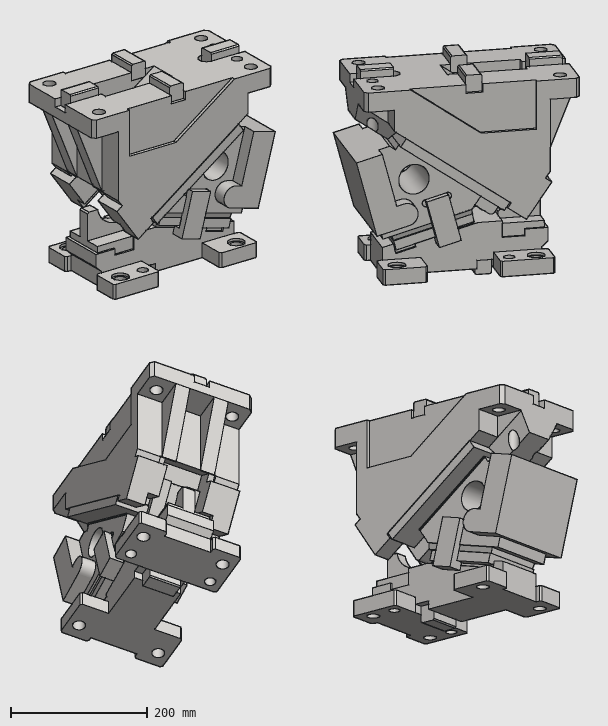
import cadquery as cq
import math


SLIDE_ANGLE = 35.0
RAIL_ANGLE = 15.0

BODY_WIDTH = 167.0
KEY_WIDTH = 25.0
KEY_LENGTH = 50.0
KEY_HALF_DEPTH = 13.0
KEY_CHAMFER = 2.0
BOLT_HOLE = 19.0
DOWEL_HOLE = 16.5


def on_slide(along, above):
    """(y, z) of a point in the slideway frame: distance up the slope, height square to it."""
    a = math.radians(SLIDE_ANGLE)
    y = along * math.cos(a) - above * math.sin(a)
    z = along * math.sin(a) + above * math.cos(a)
    return (y, z)


def on_rail(back, above):
    """(y, z) of a point in the rail frame: distance down the slope, height square to it."""
    a = math.radians(RAIL_ANGLE)
    y = back * math.cos(a) + above * math.sin(a)
    z = above * math.cos(a) - back * math.sin(a)
    return (y, z)


def prism(points, width):
    """Extrude a (y, z) outline across the part, centred on x = 0."""
    return cq.Workplane("YZ").polyline(points).close().extrude(width / 2, both=True)


def block(frame, start, end, low, high, width):
    """A block centred on x = 0 that is rectangular in the given sloping frame."""
    corners = [(start, low), (end, low), (end, high), (start, high)]
    return prism([frame(*corner) for corner in corners], width)


def tapered_bar(frame, start, end, low, high, low_width, high_width):
    """A bar along a sloping frame whose sides lean evenly from one width to the other."""
    plane = cq.Plane(origin=(0, *frame(start, 0)), xDir=(-1, 0, 0), normal=(0, *frame(1, 0)))
    section = [
        (-low_width / 2, low),
        (low_width / 2, low),
        (high_width / 2, high),
        (-high_width / 2, high),
    ]
    return cq.Workplane(plane).polyline(section).close().extrude(end - start)


def disc(centre, radius, width):
    """A cylinder across the part, centred on x = 0, about a (y, z) point."""
    return cq.Workplane("YZ").center(*centre).circle(radius).extrude(width / 2, both=True)


def box(x_range, y_range, z_range):
    """An upright box from its three coordinate ranges."""
    (x0, x1), (y0, y1), (z0, z1) = x_range, y_range, z_range
    return cq.Workplane("XY").box(x1 - x0, y1 - y0, z1 - z0, centered=False).translate((x0, y0, z0))


def both_sides(shape):
    """The shape together with its mirror image across x = 0."""
    return shape.union(shape.mirror("YZ"))


def holes(points, diameter, bottom, top):
    """Upright cylinders to cut at the given (x, y) points."""
    drill = cq.Workplane("XY").workplane(offset=bottom).pushPoints(points)
    return drill.circle(diameter / 2).extrude(top - bottom)


SLIDE_FACE = 33.0
WEAR_PLATE_TOP_END = 343.0
WEAR_PLATE_LOW_END = 152.5
TONGUE_TOP = 77.0
RAIL_TOP = 125.0
RAIL_FRONT = 125.0
RAIL_BACK = 249.0
RAIL_WING_BOTTOM = 110.2
RAIL_WING_FRONT = 165.0
RAIL_WIDTH = 99.5
RAIL_CORE_WIDTH = 80.0

TOP = 298.0
PLATE_LENGTH = 324.5
PLATE_THICKNESS = 29.5
PLATE_CORNER = 5.5
PLATE_BOTTOM = TOP - PLATE_THICKNESS
WALL_FRONT = 45.0
WALL_BACK = 279.5
WALL_FRONT_BOTTOM = 157.0

FOOT_END = 115.5
FOOT_START = 150.0
FOOT_BOTTOM = 24.0
FOOT_TOP = 91.0
FOOT_NOTCH = 127.5
FOOT_NOTCH_INNER = 132.5
FOOT_NOTCH_INNER_WIDTH = 91.0
FOOT_RELIEF_WIDTH = 106.5
FOOT_RELIEF_TOP = 43.0

CHANNEL_WIDTH = 71.5
CHANNEL_MOUTH = 161.0
CHANNEL_MOUTH_TOP = 104.0

RIB_INNER = 20.0
RIB_OUTER = 43.0

STOP_WIDTH = 82.0
STOP_TIP_WIDTH = 44.0
STOP_BOTTOM = 9.5

SIDE_POCKET_DEPTH = 5.6
POCKET_FRONT = 65.5
SIDE_POCKET_BACK = 255.0
SIDE_POCKET_FLOOR = 223.8
TOP_POCKET_WIDTH = 45.5
TOP_POCKET_BACK = 186.0
TOP_POCKET_FLOOR = 247.5

BOLT_X = 62.2
DOWEL_X = 27.6
BACK_HOLES_Y = 299.6
FRONT_HOLES_Y = 25.3

CROSS_KEY_Y = 157.8
CROSS_KEY_X = 47.4
BACK_KEY_Y = 289.2
FRONT_KEY_Y = 35.0
BACK_SLOT_END = 252.0


def wedge_pocket(back, floor, width):
    """Pocket open at the top, whose back end slopes like the slideway."""
    run = (TOP - floor) / math.tan(math.radians(SLIDE_ANGLE))
    return prism([(POCKET_FRONT, TOP), (POCKET_FRONT, floor), (back - run, floor), (back, TOP)], width)


def key(length_x, length_y, centre):
    """Locating key with its exposed long edges chamfered, the exposed side facing up."""
    bar = cq.Workplane("XY").box(length_x, length_y, 2 * KEY_HALF_DEPTH)
    long_edges = "|X" if length_x > length_y else "|Y"
    return bar.faces(">Z").edges(long_edges).chamfer(KEY_CHAMFER).translate(centre)


def make_cam_block():
    plate = box((-BODY_WIDTH / 2, BODY_WIDTH / 2), (0, PLATE_LENGTH), (PLATE_BOTTOM, TOP))
    plate = plate.edges("|Z").chamfer(PLATE_CORNER)

    slope = math.tan(math.radians(SLIDE_ANGLE))
    slide_rise = SLIDE_FACE / math.cos(math.radians(SLIDE_ANGLE))
    wall = prism(
        [
            (WALL_FRONT, TOP - PLATE_CORNER),
            (WALL_FRONT, WALL_FRONT_BOTTOM),
            on_slide(FOOT_NOTCH, FOOT_TOP),
            on_slide(FOOT_END, FOOT_TOP),
            on_slide(FOOT_END, FOOT_BOTTOM),
            on_slide(FOOT_START, FOOT_BOTTOM),
            on_slide(FOOT_START, SLIDE_FACE),
            (WALL_BACK, WALL_BACK * slope + slide_rise),
            (WALL_BACK, TOP - PLATE_CORNER),
        ],
        BODY_WIDTH,
    )
    body = plate.union(wall)

    body = body.cut(block(on_slide, 0, WEAR_PLATE_TOP_END, 0, TONGUE_TOP, CHANNEL_WIDTH))
    body = body.cut(block(on_slide, 0, CHANNEL_MOUTH, 0, CHANNEL_MOUTH_TOP, CHANNEL_WIDTH))
    body = body.cut(block(on_slide, 0, FOOT_NOTCH_INNER, FOOT_TOP, CHANNEL_MOUTH_TOP, FOOT_NOTCH_INNER_WIDTH))
    body = body.cut(block(on_slide, 0, FOOT_START, 0, FOOT_RELIEF_TOP, FOOT_RELIEF_WIDTH))

    rib_outline = [(0, PLATE_BOTTOM), (WALL_FRONT, PLATE_BOTTOM), (WALL_FRONT, WALL_FRONT_BOTTOM)]
    body = body.union(prism(rib_outline, 2 * RIB_OUTER).cut(prism(rib_outline, 2 * RIB_INNER)))

    stop_root = prism(
        [
            on_slide(WEAR_PLATE_TOP_END, SLIDE_FACE),
            on_slide(WEAR_PLATE_TOP_END, TONGUE_TOP),
            (WALL_BACK, PLATE_BOTTOM),
            (PLATE_LENGTH, PLATE_BOTTOM),
            (PLATE_LENGTH, PLATE_LENGTH * slope + slide_rise),
        ],
        STOP_WIDTH,
    )
    stop = tapered_bar(
        on_slide,
        WEAR_PLATE_TOP_END,
        WEAR_PLATE_TOP_END + PLATE_LENGTH,
        STOP_BOTTOM,
        SLIDE_FACE,
        STOP_TIP_WIDTH,
        STOP_WIDTH,
    )
    behind_plate = box((-STOP_WIDTH, STOP_WIDTH), (PLATE_LENGTH, 2 * PLATE_LENGTH), (0, 2 * TOP))
    body = body.union(stop_root).union(stop.cut(behind_plate))

    side_pockets = wedge_pocket(SIDE_POCKET_BACK, SIDE_POCKET_FLOOR, BODY_WIDTH)
    kept_core = wedge_pocket(SIDE_POCKET_BACK, SIDE_POCKET_FLOOR, BODY_WIDTH - 2 * SIDE_POCKET_DEPTH)
    body = body.cut(side_pockets.cut(kept_core))
    body = body.cut(wedge_pocket(TOP_POCKET_BACK, TOP_POCKET_FLOOR, TOP_POCKET_WIDTH))

    half_key = KEY_WIDTH / 2
    slot_z = (TOP - KEY_HALF_DEPTH, TOP)
    cross_y = (CROSS_KEY_Y - half_key, CROSS_KEY_Y + half_key)
    cross_slot = box((TOP_POCKET_WIDTH / 2, BODY_WIDTH / 2), cross_y, slot_z)
    body = body.cut(both_sides(cross_slot))
    body = body.cut(box((-half_key, half_key), (0, POCKET_FRONT), slot_z))
    slot_round_y = BACK_SLOT_END + half_key
    body = body.cut(box((-half_key, half_key), (slot_round_y, PLATE_LENGTH), slot_z))
    body = body.cut(holes([(0, slot_round_y)], KEY_WIDTH, *slot_z))

    bolts = [(side * BOLT_X, y) for side in (-1, 1) for y in (FRONT_HOLES_Y, BACK_HOLES_Y)]
    body = body.cut(holes(bolts, BOLT_HOLE, 0, TOP))
    dowels = [(side * DOWEL_X, BACK_HOLES_Y) for side in (-1, 1)]
    body = body.cut(holes(dowels, DOWEL_HOLE, 0, TOP))

    body = body.union(both_sides(key(KEY_LENGTH, KEY_WIDTH, (CROSS_KEY_X, CROSS_KEY_Y, TOP))))
    for key_y in (FRONT_KEY_Y, BACK_KEY_Y):
        body = body.union(key(KEY_WIDTH, KEY_LENGTH, (0, key_y, TOP)))
    return body


CORE_WIDTH = 105.0
CORE_BACK = 264.0
CORE_BOTTOM = 134.0
CORE_SHOULDER = 335.0
CORE_SHOULDER_TOP = 6.3
CORE_LOW_END = 183.4
CORE_LOW_END_BOTTOM = -4.5

BACK_PLATE_WIDTH = 150.0
BACK_PLATE_BACK = 274.56
BACK_PLATE_FRONT = 234.3
BACK_PLATE_BOTTOM = 149.7
BACK_PLATE_TOP = 269.0
LOBE_CENTRE = 223.8
LOBE_RADIUS = 17.4

WEAR_PLATE_WIDTH = 169.0
WEAR_PLATE_BOTTOM = 18.2
WEAR_PLATE_SEAT = 16.3
WEAR_PLATE_SEAT_WIDTH = 108.0

TONGUE_WIDTH = 68.0
TONGUE_END = 144.5
TONGUE_END_FILLET = 6.0
ROLLER_ALONG = 155.4
ROLLER_ABOVE = 10.3
ROLLER_RADIUS = 19.0
ROLLER_WIDTH = 18.0
ROLLER_SLOT_WIDTH = 25.0
ROLLER_SLOT_FLOOR = 31.0

BORE_CENTRE = (243.0, 150.0)
BORE_RADIUS = 22.8

VEE_TOP_WIDTH = 98.0
VEE_TIP_WIDTH = 93.5

CLAW_FRONT = 154.3
CLAW_BACK = 188.3
CLAW_BOTTOM = 97.6
CLAW_TOP = 171.6
CLAW_WIDTH = 127.0
CLAW_INNER_WIDTH = 103.0
CLAW_MOUTH = 81.0
CLAW_RELIEF_RADIUS = 5.5


def core_top_meeting():
    """(y, z) point where the top of the back plate runs into the slider's upper shoulder."""
    turn = math.radians(SLIDE_ANGLE + RAIL_ANGLE)
    back = (BACK_PLATE_TOP * math.cos(turn) - CORE_SHOULDER_TOP) / math.sin(turn)
    return on_rail(back, BACK_PLATE_TOP)


def make_slider():
    body = prism(
        [
            on_rail(CORE_BACK, CORE_BOTTOM),
            on_rail(CORE_BACK, BACK_PLATE_TOP),
            core_top_meeting(),
            on_slide(CORE_SHOULDER, CORE_SHOULDER_TOP),
            on_slide(CORE_SHOULDER, WEAR_PLATE_BOTTOM),
            on_slide(CORE_LOW_END, WEAR_PLATE_BOTTOM),
            on_slide(CORE_LOW_END, CORE_LOW_END_BOTTOM),
            on_rail(RAIL_FRONT, CORE_BOTTOM),
        ],
        CORE_WIDTH,
    )
    body = body.union(
        block(
            on_rail,
            BACK_PLATE_FRONT,
            BACK_PLATE_BACK,
            BACK_PLATE_BOTTOM,
            BACK_PLATE_TOP,
            BACK_PLATE_WIDTH,
        )
    )
    lobe_axis = BACK_PLATE_BOTTOM + LOBE_RADIUS
    lobe_top = lobe_axis + LOBE_RADIUS
    body = body.union(
        block(on_rail, LOBE_CENTRE, BACK_PLATE_BACK, BACK_PLATE_BOTTOM, lobe_top, BACK_PLATE_WIDTH)
    )
    body = body.union(disc(on_rail(LOBE_CENTRE, lobe_axis), LOBE_RADIUS, BACK_PLATE_WIDTH))

    body = body.union(
        block(
            on_slide,
            WEAR_PLATE_LOW_END,
            WEAR_PLATE_TOP_END,
            WEAR_PLATE_BOTTOM,
            SLIDE_FACE,
            WEAR_PLATE_WIDTH,
        )
    )

    body = body.union(
        block(
            on_slide,
            CORE_LOW_END,
            CORE_SHOULDER,
            WEAR_PLATE_SEAT,
            WEAR_PLATE_BOTTOM,
            WEAR_PLATE_SEAT_WIDTH,
        )
    )

    tongue = prism(
        [
            on_slide(TONGUE_END, CORE_LOW_END_BOTTOM),
            on_slide(CORE_LOW_END, CORE_LOW_END_BOTTOM),
            on_slide(CORE_SHOULDER, CORE_SHOULDER_TOP),
            on_slide(CORE_SHOULDER, TONGUE_TOP),
            on_slide(TONGUE_END, TONGUE_TOP),
        ],
        TONGUE_WIDTH,
    )
    tongue = tongue.edges("|X").edges("<Z").fillet(TONGUE_END_FILLET)
    body = body.union(tongue)
    roller_slot = block(on_slide, 0, ROLLER_ALONG, ROLLER_SLOT_FLOOR, TONGUE_TOP, ROLLER_SLOT_WIDTH)
    body = body.cut(roller_slot)
    body = body.union(disc(on_slide(ROLLER_ALONG, ROLLER_ABOVE), ROLLER_RADIUS, ROLLER_WIDTH))

    vee = tapered_bar(on_rail, RAIL_FRONT, RAIL_BACK, RAIL_TOP, CORE_BOTTOM, VEE_TIP_WIDTH, VEE_TOP_WIDTH)
    body = body.union(vee)

    for corner in (CLAW_FRONT, CLAW_BACK):
        centre = on_rail(corner, CLAW_TOP - CLAW_RELIEF_RADIUS)
        relief = disc(centre, CLAW_RELIEF_RADIUS, CORE_WIDTH)
        kept = disc(centre, CLAW_RELIEF_RADIUS, CLAW_INNER_WIDTH)
        body = body.cut(relief.cut(kept))
    claws = block(on_rail, CLAW_FRONT, CLAW_BACK, CLAW_BOTTOM, CLAW_TOP, CLAW_WIDTH)
    claws = claws.cut(block(on_rail, CLAW_FRONT, CLAW_BACK, CLAW_BOTTOM, RAIL_WING_BOTTOM, CLAW_MOUTH))
    claws = claws.cut(block(on_rail, CLAW_FRONT, CLAW_BACK, RAIL_WING_BOTTOM, CORE_BOTTOM, CLAW_INNER_WIDTH))
    body = body.union(claws)
    return body.cut(disc(BORE_CENTRE, BORE_RADIUS, CORE_WIDTH))


NECK_WIDTH = 75.5
NECK_BACK = 287.3
NECK_FRONT = 47.0
NOSE_FRONT = 37.4
NOSE_BOTTOM = 35.6
NOSE_CHAMFER_BOTTOM = 26.6
NECK_BACK_TOP = 43.3
NECK_SLOPE_TOP = 116.0
DECK_BACK = 143.0
DECK = 71.4
SEAT_BACK = 106.5
SEAT_LOW = 45.8
SEAT_STEP_Y = 72.0
SEAT_HIGH = 56.1

SHOE_THICKNESS = 24.0
SHOE_CHAMFER = 3.0
FRONT_SHOE_Y = (NOSE_FRONT, 119.6)
BACK_SHOE_Y = (229.4, 296.3)
SHOE_BOLTS_Y = (62.0, 271.5)
SHOE_BOLT_X = 65.0
SHOE_DOWEL_Y = 102.5
COUNTERBORE = 26.0
COUNTERBORE_DEPTH = 4.0

CAM_SEAT_WIDTH = 68.5
CAM_SEAT_FRONT = 42.5
CAM_SEAT_TOP = 66.3
CAM_WIDTH = 19.2
CAM_TOP = 112.0
CAM_CHAMFER = 2.5
CAM_HEEL = (SEAT_BACK, 77.0)
CAM_HEEL_CHAMFER = (103.5, 79.6)
CAM_RAMP_END = (83.5, 85.0)
CAM_HOLLOW = (67.5, 97.0)
CAM_CREST = (61.0, CAM_TOP)

NECK_GROOVE_BOTTOM = 106.0
NECK_GROOVE_DEEP = 100.5
NECK_GROOVE_DEEP_START = 218.0
NECK_GROOVE_WIDTH = 68.0

BASE_KEY_Y = 132.3


def make_base():
    neck = prism(
        [
            (NECK_BACK, 0),
            (NECK_BACK, NECK_BACK_TOP),
            on_rail(RAIL_FRONT, NECK_SLOPE_TOP),
            on_rail(RAIL_FRONT, NECK_GROOVE_BOTTOM),
            (DECK_BACK, DECK),
            (SEAT_BACK, DECK),
            (SEAT_BACK, SEAT_LOW),
            (SEAT_STEP_Y, SEAT_LOW),
            (SEAT_STEP_Y, SEAT_HIGH),
            (NOSE_FRONT, SEAT_HIGH),
            (NOSE_FRONT, NOSE_BOTTOM),
            (NECK_FRONT, NOSE_CHAMFER_BOTTOM),
            (NECK_FRONT, 0),
        ],
        NECK_WIDTH,
    )
    grooves = ((RAIL_FRONT, NECK_GROOVE_BOTTOM), (NECK_GROOVE_DEEP_START, NECK_GROOVE_DEEP))
    for start, bottom in grooves:
        groove = block(on_rail, start, RAIL_BACK, bottom, RAIL_WING_BOTTOM, NECK_WIDTH)
        kept = block(on_rail, start, RAIL_BACK, bottom, RAIL_WING_BOTTOM, NECK_GROOVE_WIDTH)
        neck = neck.cut(groove.cut(kept))
    body = neck.union(block(on_rail, RAIL_FRONT, RAIL_BACK, RAIL_WING_BOTTOM, RAIL_TOP, RAIL_CORE_WIDTH))
    body = body.union(block(on_rail, RAIL_WING_FRONT, RAIL_BACK, RAIL_WING_BOTTOM, RAIL_TOP, RAIL_WIDTH))

    for y_range, free_end in ((FRONT_SHOE_Y, "<Y"), (BACK_SHOE_Y, ">Y")):
        shoe = box((NECK_WIDTH / 2, BODY_WIDTH / 2), y_range, (0, SHOE_THICKNESS))
        shoe = shoe.edges(f"|Z and (>X or {free_end})").chamfer(SHOE_CHAMFER)
        body = body.union(both_sides(shoe))

    cam_seat = prism(
        [
            (SEAT_BACK, CAM_SEAT_TOP),
            (SEAT_BACK, SEAT_LOW),
            (SEAT_STEP_Y, SEAT_LOW),
            (SEAT_STEP_Y, SEAT_HIGH),
            (CAM_SEAT_FRONT, SEAT_HIGH),
            (CAM_SEAT_FRONT, CAM_SEAT_TOP),
        ],
        CAM_SEAT_WIDTH,
    )
    cam = (
        cq.Workplane("YZ")
        .moveTo(SEAT_BACK, CAM_SEAT_TOP)
        .lineTo(*CAM_HEEL)
        .lineTo(*CAM_HEEL_CHAMFER)
        .lineTo(*CAM_RAMP_END)
        .threePointArc(CAM_HOLLOW, CAM_CREST)
        .lineTo(CAM_SEAT_FRONT + CAM_CHAMFER, CAM_TOP)
        .lineTo(CAM_SEAT_FRONT, CAM_TOP - CAM_CHAMFER)
        .lineTo(CAM_SEAT_FRONT, CAM_SEAT_TOP)
        .close()
        .extrude(CAM_WIDTH / 2, both=True)
    )
    body = body.union(cam_seat).union(cam)

    bolts = [(side * SHOE_BOLT_X, y) for side in (-1, 1) for y in SHOE_BOLTS_Y]
    body = body.cut(holes(bolts, BOLT_HOLE, 0, SHOE_THICKNESS))
    body = body.cut(holes(bolts, COUNTERBORE, SHOE_THICKNESS - COUNTERBORE_DEPTH, SHOE_THICKNESS))
    dowels = [(side * SHOE_BOLT_X, SHOE_DOWEL_Y) for side in (-1, 1)]
    body = body.cut(holes(dowels, DOWEL_HOLE, 0, SHOE_THICKNESS))

    half_key = KEY_WIDTH / 2
    key_y = (BASE_KEY_Y - half_key, BASE_KEY_Y + half_key)
    body = body.cut(box((-NECK_WIDTH / 2, NECK_WIDTH / 2), key_y, (0, KEY_HALF_DEPTH)))
    hanging_key = key(KEY_LENGTH, KEY_WIDTH, (0, BASE_KEY_Y, 0))
    hanging_key = hanging_key.rotate((0, BASE_KEY_Y, 0), (1, BASE_KEY_Y, 0), 180)
    return body.union(hanging_key)


cam_block = make_cam_block()
slider = make_slider()
base = make_base()
result = cq.Compound.makeCompound([*cam_block.vals(), *slider.vals(), *base.vals()])